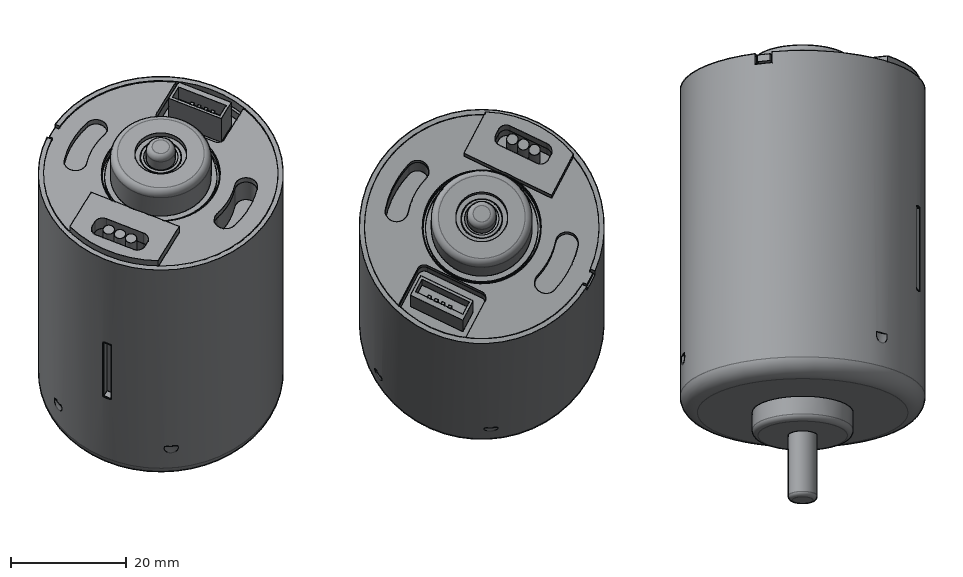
import cadquery as cq
import math


SHAFT_DIA = 5.0
SHAFT_LENGTH = 82.5
SHAFT_TOP_FLAT_DIA = 3.0
SHAFT_TOP_FILLET = (SHAFT_DIA - SHAFT_TOP_FLAT_DIA) / 2
SHAFT_BOTTOM_FILLET = 0.75

CAN_DIA = 42.4
CAN_BOTTOM = 16.0
CAN_TOP = 75.0
CAN_FILLET = 3.0
CORE_DIA = 39.6
RIM_BORE_DIA = 40.6
BOSS_DIA = 17.5
BOSS_TOP = 80.6
BOSS_TOP_FILLET = 1.2
BOSS_BOTTOM = 11.8
BOSS_BOTTOM_FILLET = 1.0
NOTCH_WIDTH = 3.1
NOTCH_DEPTH = 2.0

PLATE_RECESS = 0.25
PLATE_THICKNESS = 1.2
PLATE_TOP = CAN_TOP - PLATE_RECESS
SEAT = PLATE_TOP - PLATE_THICKNESS
PLATE_HOLE_DIA = 20.3
PLATE_HOLE_CHAMFER = 0.2
TAB_WIDTH = 2.3
TAB_TIP_DIA = 41.9

COLLAR_DIA = 19.5
COLLAR_TOP = 74.2

RECESS_DIA = 9.0
RECESS_DEPTH = 1.0
BEARING_GAP_OUTER_DIA = 7.2
BEARING_GAP_INNER_DIA = 7.0
BEARING_GAP_DEPTH = 0.5
COUNTERSINK_DIA = 5.9

VENT_RADIUS = 15.0
VENT_WIDTH = 4.0
VENT_HALF_ANGLE = 15.5
VENT_POCKET_DEPTH = 4.95

CUTOUT_WIDTH = 13.0
CUTOUT_INNER_Y = 10.5
CUTOUT_CORNER = 1.2
CUTOUT_POCKET_DEPTH = 2.5
PLUG_LENGTH = 10.15
PLUG_WIDTH = 4.0
PLUG_Y = 15.4
PLUG_TOP = 77.7
PLUG_CAVITY_LENGTH = 9.15
PLUG_CAVITY_WIDTH = 2.5
PLUG_CAVITY_Y = 15.2
PLUG_FLOOR = 0.8
CONTACT_COUNT = 4
CONTACT_PITCH = 1.3
CONTACT_CENTER_X = 0.3
CONTACT_Y = 15.7
CONTACT_SIZE = 0.6
CONTACT_HEIGHT = 1.2

BLOCK_WIDTH = 17.0
BLOCK_INNER_Y = -10.1
BLOCK_TOP = 76.5
WELL_LENGTH = 10.15
WELL_WIDTH = 4.0
WELL_CORNER = 1.5
WELL_Y = -16.1
WELL_POCKET_DEPTH = 3.3
TERMINAL_DIA = 2.0
TERMINAL_PITCH = 2.15

WINDOW_WIDTH = 1.65
WINDOW_CORNER = 0.3
WINDOW_STEP = 0.2
WINDOW_BOTTOM = 36.0
WINDOW_TOP = 51.4

DENT_ANGLES = (59, 121, 239, 301)
DENT_TOP = 25.1
DENT_HEIGHT = 1.8
DENT_OUTLINE_RADIUS = 1.3
DENT_DEPTH = 0.25


def cylinder(diameter, bottom, top):
    return cq.Workplane("XY").workplane(offset=bottom).circle(diameter / 2).extrude(top - bottom)


def ring(outer_dia, inner_dia, bottom, top):
    return cylinder(outer_dia, bottom, top).cut(cylinder(inner_dia, bottom, top))


def cone(bottom_dia, top_dia, bottom, top):
    solid = cq.Solid.makeCone(bottom_dia / 2, top_dia / 2, top - bottom)
    return cq.Workplane(solid).translate((0, 0, bottom))


def block(length, width, bottom, top, x=0, y=0):
    center = cq.Workplane("XY").workplane(offset=bottom).center(x, y)
    return center.rect(length, width).extrude(top - bottom)


def vent(bottom, top):
    """Curved slot on the +X side, with round ends."""
    angle = math.radians(VENT_HALF_ANGLE)
    inner = VENT_RADIUS - VENT_WIDTH / 2
    outer = VENT_RADIUS + VENT_WIDTH / 2
    cosine = math.cos(angle)
    sine = math.sin(angle)
    end_x = VENT_RADIUS * cosine - VENT_WIDTH / 2 * sine
    end_y = VENT_RADIUS * sine + VENT_WIDTH / 2 * cosine
    return (
        cq.Workplane("XY")
        .workplane(offset=bottom)
        .moveTo(outer * cosine, -outer * sine)
        .threePointArc((outer, 0), (outer * cosine, outer * sine))
        .threePointArc((end_x, end_y), (inner * cosine, inner * sine))
        .threePointArc((inner, 0), (inner * cosine, -inner * sine))
        .threePointArc((end_x, -end_y), (outer * cosine, -outer * sine))
        .close()
        .extrude(top - bottom)
    )


def terminal_well(bottom, top):
    return block(WELL_LENGTH, WELL_WIDTH, bottom, top, y=WELL_Y).edges("|Z").fillet(WELL_CORNER)


def rim_tongue(width, outer_dia, bottom, top):
    """Piece of ring on the -X side, reaching from the core out to outer_dia."""
    strip = block(CAN_DIA, width, bottom, top, x=-CAN_DIA / 2)
    return ring(outer_dia, CORE_DIA, bottom, top).intersect(strip)


def make_can():
    can = cylinder(CAN_DIA, CAN_BOTTOM, CAN_TOP).faces("<Z").edges().fillet(CAN_FILLET)
    can = can.cut(cylinder(RIM_BORE_DIA, SEAT, CAN_TOP))
    notch_floor = CAN_TOP - NOTCH_DEPTH
    can = can.cut(ring(RIM_BORE_DIA, CORE_DIA, notch_floor, SEAT))
    return can.cut(rim_tongue(NOTCH_WIDTH, CAN_DIA, notch_floor, CAN_TOP))


def make_bosses():
    upper = cylinder(BOSS_DIA, SEAT, BOSS_TOP).faces(">Z").edges().fillet(BOSS_TOP_FILLET)
    lower = cylinder(BOSS_DIA, BOSS_BOTTOM, CAN_BOTTOM).faces("<Z").edges().fillet(BOSS_BOTTOM_FILLET)
    return upper.union(lower).union(cylinder(COLLAR_DIA, SEAT, COLLAR_TOP))


def make_boss_recess():
    """Everything removed around the shaft at the top of the upper boss."""
    floor = BOSS_TOP - RECESS_DEPTH
    gap = ring(BEARING_GAP_OUTER_DIA, BEARING_GAP_INNER_DIA, floor - BEARING_GAP_DEPTH, floor)
    countersink_depth = (COUNTERSINK_DIA - SHAFT_DIA) / 2
    countersink = cone(SHAFT_DIA, COUNTERSINK_DIA, floor - countersink_depth, floor)
    return cylinder(RECESS_DIA, floor, BOSS_TOP).union(gap).union(countersink)


def make_window():
    height = WINDOW_TOP - WINDOW_BOTTOM
    middle = (WINDOW_TOP + WINDOW_BOTTOM) / 2
    wall_outside = cq.Workplane("XZ", origin=(0, -CAN_DIA / 2, middle))
    step = wall_outside.rect(WINDOW_WIDTH, height).extrude(-WINDOW_STEP)
    step = step.edges("|Y").fillet(WINDOW_CORNER)
    inner_width = WINDOW_WIDTH - 2 * WINDOW_STEP
    inner_height = height - 2 * WINDOW_STEP
    through = wall_outside.rect(inner_width, inner_height).extrude(-(CAN_DIA - CORE_DIA) / 2)
    return step.union(through)


def make_dent():
    """Shallow round dent on the +X side, cut off flat at the top."""
    radius = (DENT_OUTLINE_RADIUS**2 + DENT_DEPTH**2) / (2 * DENT_DEPTH)
    center_x = CAN_DIA / 2 - DENT_DEPTH + radius
    center_z = DENT_TOP - DENT_HEIGHT + DENT_OUTLINE_RADIUS
    ball = cq.Workplane("XY").sphere(radius).translate((center_x, 0, center_z))
    return ball.intersect(block(CAN_DIA, CAN_DIA, center_z - radius, DENT_TOP, x=center_x))


def cutout_outline(bottom, top):
    """Bay for the plug on the +Y side, open towards the rim."""
    depth = RIM_BORE_DIA / 2 - CUTOUT_INNER_Y
    bay = block(CUTOUT_WIDTH, depth, bottom, top, y=CUTOUT_INNER_Y + depth / 2)
    return bay.edges("|Z and <Y").fillet(CUTOUT_CORNER)


def make_plug():
    cavity_bottom = SEAT + PLUG_FLOOR
    plug = block(PLUG_LENGTH, PLUG_WIDTH, SEAT - CUTOUT_POCKET_DEPTH, PLUG_TOP, y=PLUG_Y)
    plug = plug.cut(block(PLUG_CAVITY_LENGTH, PLUG_CAVITY_WIDTH, cavity_bottom, PLUG_TOP, y=PLUG_CAVITY_Y))
    for index in range(CONTACT_COUNT):
        x = CONTACT_CENTER_X + (index - (CONTACT_COUNT - 1) / 2) * CONTACT_PITCH
        contact_top = cavity_bottom + CONTACT_HEIGHT
        plug = plug.union(block(CONTACT_SIZE, CONTACT_SIZE, cavity_bottom, contact_top, x, CONTACT_Y))
    return plug


def make_housing():
    housing = make_can().union(make_bosses()).cut(make_boss_recess())
    housing = housing.cut(cylinder(SHAFT_DIA, 0, SHAFT_LENGTH)).cut(make_window())
    dent = make_dent()
    for angle in DENT_ANGLES:
        housing = housing.cut(dent.rotate((0, 0, 0), (0, 0, 1), angle))
    plug_floor = SEAT - CUTOUT_POCKET_DEPTH
    plug_pocket = cutout_outline(plug_floor, SEAT).intersect(cylinder(CORE_DIA, plug_floor, SEAT))
    housing = housing.cut(plug_pocket)
    housing = housing.cut(vent(SEAT - VENT_POCKET_DEPTH, SEAT))
    well_floor = SEAT - WELL_POCKET_DEPTH
    housing = housing.cut(terminal_well(well_floor, SEAT)).union(make_plug())
    for x in (-TERMINAL_PITCH, 0, TERMINAL_PITCH):
        terminal = cylinder(TERMINAL_DIA, well_floor, BLOCK_TOP).translate((x, WELL_Y, 0))
        housing = housing.union(terminal)
    return housing


def make_shaft():
    shaft = cylinder(SHAFT_DIA, 0, SHAFT_LENGTH)
    shaft = shaft.faces(">Z").edges().fillet(SHAFT_TOP_FILLET)
    return shaft.faces("<Z").edges().fillet(SHAFT_BOTTOM_FILLET)


def make_cover():
    rim_radius = RIM_BORE_DIA / 2
    cover = cylinder(RIM_BORE_DIA, SEAT, PLATE_TOP)
    tab = rim_tongue(TAB_WIDTH, TAB_TIP_DIA, SEAT, PLATE_TOP)
    block_depth = rim_radius + BLOCK_INNER_Y
    block_y = BLOCK_INNER_Y - block_depth / 2
    terminal_block = block(BLOCK_WIDTH, block_depth, SEAT, BLOCK_TOP, y=block_y)
    terminal_block = terminal_block.intersect(cylinder(RIM_BORE_DIA, SEAT, BLOCK_TOP))
    cover = cover.union(tab).union(terminal_block)

    right_vent = vent(SEAT, PLATE_TOP)
    hole_mouth_dia = PLATE_HOLE_DIA + 2 * PLATE_HOLE_CHAMFER
    hole_mouth = cone(PLATE_HOLE_DIA, hole_mouth_dia, PLATE_TOP - PLATE_HOLE_CHAMFER, PLATE_TOP)
    cover = cover.cut(cylinder(PLATE_HOLE_DIA, SEAT, BLOCK_TOP)).cut(hole_mouth)
    cover = cover.cut(cutout_outline(SEAT, PLATE_TOP))
    cover = cover.cut(right_vent).cut(right_vent.mirror("YZ"))
    return cover.cut(terminal_well(SEAT, BLOCK_TOP))


housing = make_housing()
shaft = make_shaft()
cover = make_cover()
result = cq.Compound.makeCompound([housing.val(), shaft.val(), cover.val()])